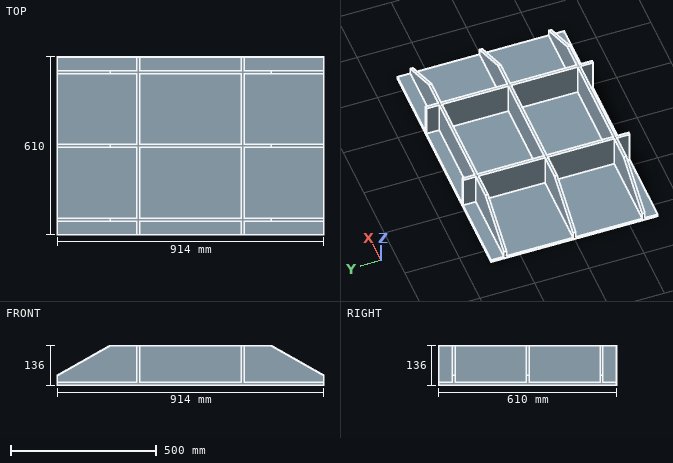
import cadquery as cq

length = 914.0
width = 610.0
height = 136.0
plate_thickness = 10.0

rib_thickness = 10.0
long_rib_spacing = 253.0
cross_rib_spacing = 357.5

end_height = 34.0
slope_run = 181.0


def base_plate():
    return cq.Workplane("XY").box(length, width, plate_thickness, centered=(True, True, False))


def long_rib(y):
    """Rib along X whose top corners slope down to low ends."""
    half = length / 2
    return (
        cq.Workplane("XZ", origin=(0, y + rib_thickness / 2, 0))
        .moveTo(-half, 0)
        .lineTo(half, 0)
        .lineTo(half, end_height)
        .lineTo(half - slope_run, height)
        .lineTo(-half + slope_run, height)
        .lineTo(-half, end_height)
        .close()
        .extrude(rib_thickness)
    )


def cross_rib(x):
    """Full-height rib across the whole plate width."""
    return (
        cq.Workplane("XY", origin=(x, 0, 0))
        .box(rib_thickness, width, height, centered=(True, True, False))
    )


result = base_plate()
for row in (-1, 0, 1):
    result = result.union(long_rib(row * long_rib_spacing))
for side in (-1, 1):
    result = result.union(cross_rib(side * cross_rib_spacing / 2))